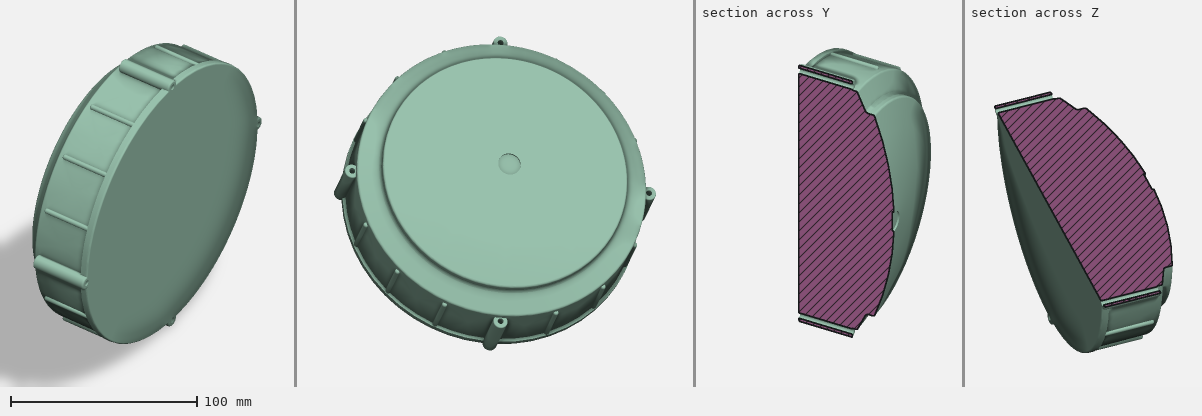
import cadquery as cq
import math

OVERALL_LENGTH = 57.6
OVERALL_DIAMETER = 170.0

DOME_RADIUS = 190.3
LID_RADIUS = 66.8
LID_EDGE_FILLET = 1.4
LID_ROOT_X = -40.8
LID_ROOT_FILLET = 1.9
RECESS_DIAMETER = 12.2
RECESS_DEPTH = 1.0

SHOULDER_X = -35.3
SKIRT_FRONT_RADIUS = 79.0
SKIRT_BACK_RADIUS = 79.4
SHOULDER_FILLET = 1.5

FLANGE_THICKNESS = 4.0
RIM_FILLET = 1.0

LUG_COUNT = 4
LUG_DIAMETER = 7.8
LUG_HOLE_DIAMETER = 3.2
LUG_END_FILLET = 0.7
GRIP_LENGTH = 32.5
RIB_SPACES_PER_LUG = 4
RIB_DIAMETER = 2.9
RIB_END_FILLET = 1.2

LUG_CIRCLE_RADIUS = (OVERALL_DIAMETER - LUG_DIAMETER) / 2
FLANGE_RADIUS = LUG_CIRCLE_RADIUS
RIB_CIRCLE_RADIUS = SKIRT_BACK_RADIUS
LUG_ANGLE = 360 / LUG_COUNT
RIB_ANGLE = LUG_ANGLE / RIB_SPACES_PER_LUG

SLICE_HALF = 0.2


def dome_x(radius):
    """X of the spherical dome at a distance from the axis; the recess rim is the foremost point."""
    rim_height = math.sqrt(DOME_RADIUS**2 - (RECESS_DIAMETER / 2) ** 2)
    return -OVERALL_LENGTH + rim_height - math.sqrt(DOME_RADIUS**2 - radius**2)


def rod_along_x(diameter, start_x, end_x, circle_radius, angle):
    """Round rod parallel to X, on a circle around the axis."""
    y = circle_radius * math.cos(math.radians(angle))
    z = circle_radius * math.sin(math.radians(angle))
    rod = cq.Workplane("YZ", origin=(start_x, 0, 0)).center(y, z).circle(diameter / 2)
    return rod.extrude(end_x - start_x)


def make_shell():
    """Dome, lid step, conical shoulder and skirt turned around X, then rounded."""
    body = (
        cq.Workplane("XY")
        .moveTo(0, 0)
        .lineTo(dome_x(0), 0)
        .threePointArc((dome_x(LID_RADIUS / 2), LID_RADIUS / 2), (dome_x(LID_RADIUS), LID_RADIUS))
        .lineTo(LID_ROOT_X, LID_RADIUS)
        .lineTo(SHOULDER_X, SKIRT_FRONT_RADIUS)
        .lineTo(-FLANGE_THICKNESS, SKIRT_BACK_RADIUS)
        .lineTo(0, SKIRT_BACK_RADIUS)
        .close()
        .revolve(360, (0, 0, 0), (1, 0, 0))
    )
    for edge_x, fillet_radius in (
        (dome_x(LID_RADIUS), LID_EDGE_FILLET),
        (LID_ROOT_X, LID_ROOT_FILLET),
        (SHOULDER_X, SHOULDER_FILLET),
    ):
        slice_start = (edge_x - SLICE_HALF, -OVERALL_DIAMETER, -OVERALL_DIAMETER)
        slice_end = (edge_x + SLICE_HALF, OVERALL_DIAMETER, OVERALL_DIAMETER)
        corner = cq.selectors.BoxSelector(slice_start, slice_end, boundingbox=True)
        body = body.edges(corner).fillet(fillet_radius)
    return body


def make_lug(angle):
    """Screw lug spanning skirt and flange, rounded at both ends."""
    lug = rod_along_x(LUG_DIAMETER, -GRIP_LENGTH, 0, LUG_CIRCLE_RADIUS, angle)
    return lug.faces("<X").edges().fillet(LUG_END_FILLET).faces(">X").edges().fillet(RIM_FILLET)


def make_rib(angle):
    """Grip rib with a rounded front end, running into the flange."""
    rib = rod_along_x(RIB_DIAMETER, -GRIP_LENGTH, -FLANGE_THICKNESS / 2, RIB_CIRCLE_RADIUS, angle)
    return rib.faces("<X").edges().fillet(RIB_END_FILLET)


def make_flange():
    """Rim flange with its back edge rounded."""
    flange = cq.Workplane("YZ").circle(FLANGE_RADIUS).extrude(-FLANGE_THICKNESS)
    return flange.faces(">X").edges().fillet(RIM_FILLET)


def make_cap():
    """One-piece cap with lugs and ribs, drilled lugs and a shallow recess at the dome centre."""
    cap = make_shell().union(make_flange())
    for step in range(LUG_COUNT * RIB_SPACES_PER_LUG):
        angle = step * RIB_ANGLE
        if step % RIB_SPACES_PER_LUG == 0:
            cap = cap.union(make_lug(angle))
        else:
            cap = cap.union(make_rib(angle))
    for step in range(LUG_COUNT):
        hole = rod_along_x(LUG_HOLE_DIAMETER, -GRIP_LENGTH, 0, LUG_CIRCLE_RADIUS, step * LUG_ANGLE)
        cap = cap.cut(hole)
    recess_floor_x = -OVERALL_LENGTH + RECESS_DEPTH
    recess = rod_along_x(RECESS_DIAMETER, dome_x(0) - RECESS_DEPTH, recess_floor_x, 0, 0)
    return cap.cut(recess)


cap = make_cap()
result = cq.Compound.makeCompound([cap.val()])